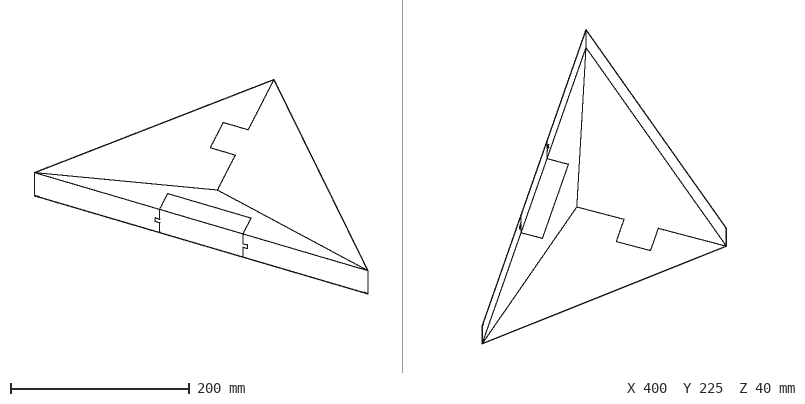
import cadquery as cq

length = 400.0
depth = 225.0
thickness = 40.0
half_length = length / 2

meeting_depth = 50.0

tab_width = 40.0
tab_reach = 30.0
tab_setback = 79.5

drawer_width = length / 4
drawer_depth = meeting_depth / 2
runner_reach = 5.0
runner_height = 6.0

left_corner = (-half_length, 0)
right_corner = (half_length, 0)
rear_corner = (0, depth)
meeting_point = (0, meeting_depth)


def make_prism(corners):
    """Closed outline raised through the full thickness."""
    return cq.Workplane("XY").polyline(corners).close().extrude(thickness)


def make_tab():
    """Rectangular tab reaching from the centre line towards -X."""
    tab_front = depth - tab_setback - tab_width
    return (
        cq.Workplane("XY")
        .box(tab_reach, tab_width, thickness, centered=False)
        .translate((-tab_reach, tab_front, 0))
    )


def make_left_block():
    """Left block, notched for the tab."""
    return make_prism([left_corner, meeting_point, rear_corner]).cut(make_tab())


def make_right_block():
    """Right block, carrying the tab."""
    return make_prism([right_corner, rear_corner, meeting_point]).union(make_tab())


def make_drawer():
    """Solid drawer with one full-depth runner at mid-height on each side."""
    body = cq.Workplane("XY").box(drawer_width, drawer_depth, thickness, centered=(True, False, False))
    runners = (
        cq.Workplane("XY")
        .box(drawer_width + 2 * runner_reach, drawer_depth, runner_height, centered=(True, False, True))
        .translate((0, 0, thickness / 2))
    )
    return body.union(runners)


def make_front_block(drawer):
    """Front block with a recess that matches the drawer."""
    return make_prism([left_corner, right_corner, meeting_point]).cut(drawer)


left_block = make_left_block()
right_block = make_right_block()
drawer = make_drawer()
front_block = make_front_block(drawer)

result = cq.Compound.makeCompound([left_block.val(), right_block.val(), front_block.val(), drawer.val()])